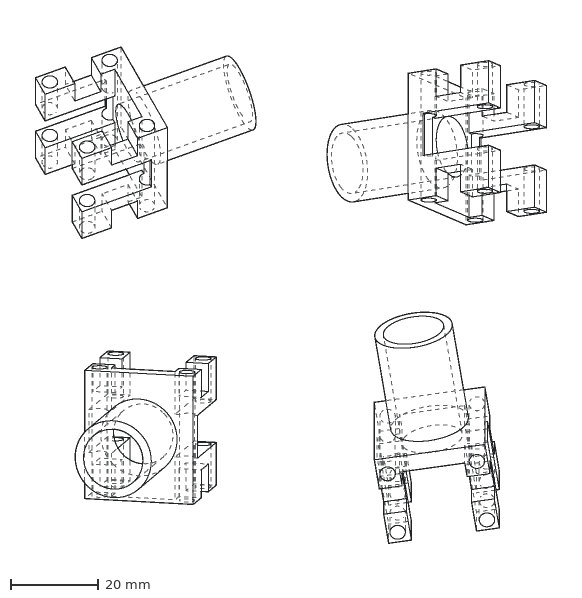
import cadquery as cq

turn_angle = 45
height = 30.0
width = 25.6
arm_thickness = 5.3
plate_thickness = 4.0
bracket_length = 21.5
arm_gap_height = 10.0

tube_diameter = 18.0
tube_length = 24.0
bore_diameter = 14.0

pin_diameter = 3.5
pin_inset = 2.47
notch_length = 6.5
notch_depth = 6.5

arm_length = bracket_length - plate_thickness
arm_middle = -plate_thickness - arm_length / 2
pin_offset = width / 2 - pin_inset
front_pin_x = -bracket_length + pin_inset
rear_pin_x = -plate_thickness


def centred_box(length, across, tall, x=0, y=0, z=0):
    return cq.Workplane("XY").box(length, across, tall).translate((x, y, z))


def make_bracket():
    """Full-height plate with two upper and two lower arms."""
    block = centred_box(bracket_length, width, height, x=-bracket_length / 2)
    between_sides = centred_box(arm_length, width - 2 * arm_thickness, height, x=arm_middle)
    between_levels = centred_box(arm_length, width, arm_gap_height, x=arm_middle)
    return block.cut(between_sides).cut(between_levels)


def cut_notches(body):
    """Rectangular notches in the outer top and bottom edges of the arms."""
    for side in (-1, 1):
        notch_z = side * (height - notch_depth) / 2
        body = body.cut(centred_box(notch_length, width, notch_depth, x=-bracket_length / 2, z=notch_z))
    return body


def cut_pin_holes(body):
    """Vertical holes near the arm tips and at the inner face of the plate."""
    centres = [(x, side * pin_offset) for x in (front_pin_x, rear_pin_x) for side in (-1, 1)]
    pins = (
        cq.Workplane("XY", origin=(0, 0, -height / 2))
        .pushPoints(centres)
        .circle(pin_diameter / 2)
        .extrude(height)
    )
    return body.cut(pins)


def add_tube(body):
    """Tube behind the plate, with its bore running through the plate."""
    tube = cq.Workplane("YZ").circle(tube_diameter / 2).extrude(tube_length)
    bore = (
        cq.Workplane("YZ", origin=(-plate_thickness, 0, 0))
        .circle(bore_diameter / 2)
        .extrude(plate_thickness + tube_length)
    )
    return body.union(tube).cut(bore)


bracket = add_tube(cut_pin_holes(cut_notches(make_bracket())))
result = bracket.rotate((0, 0, 0), (0, 0, 1), turn_angle)